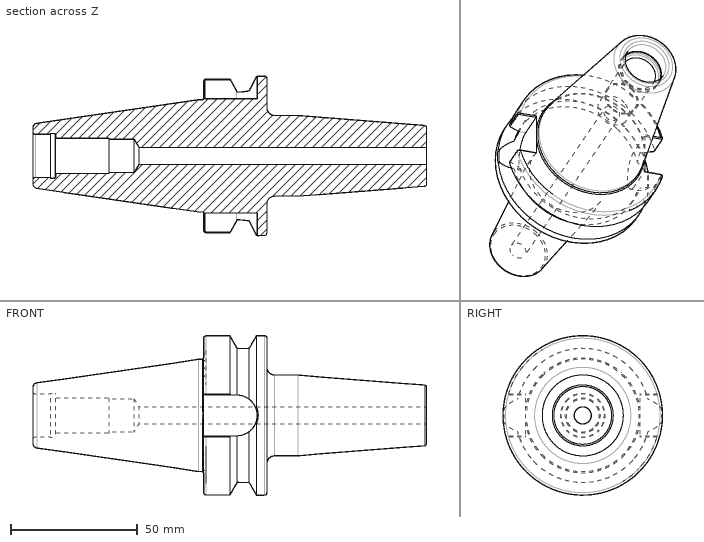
import cadquery as cq
import math


TAPER_LENGTH = 65.4
GAUGE_DIAMETER = 44.45
TAPER_RATIO = 7 / 24
TAPER_END_FILLET = 2.0

FLANGE_GAP = 2.0
FLANGE_END_OFFSET = 27.0
FLANGE_DIAMETER = 63.0
FLANGE_FILLET = 1.0
FLANGE_ROOT_FILLET = 0.5
GROOVE_DIAMETER = 53.0
GROOVE_CENTER_OFFSET = 17.6
GROOVE_FLOOR_WIDTH = 4.7
GROOVE_WALL_ANGLE = 30.0

PROJECTION = 90.0
NECK_DIAMETER = 32.0
NECK_FILLET = 3.0
NOSE_DIAMETER = 24.0
NOSE_ANGLE = 4.5
NOSE_END_CHAMFER = 0.6

SLOT_WIDTH = 16.1
SLOT_FLOOR = 22.6
SLOT_END_OFFSET = 23.1
SLOT_CHAMFER = 0.45

MOUTH_FILLET = 1.0
PILOT_DIAMETER = 17.0
PILOT_DEPTH = 7.0
RELIEF_DIAMETER = 17.5
RELIEF_DEPTH = 9.0
RELIEF_FILLET = 0.5
THREAD_DIAMETER = 13.84
THREAD_DEPTH = 30.0
DRILL_DIAMETER = 13.0
DRILL_DEPTH = 40.0
DRILL_POINT_ANGLE = 118.0
COOLANT_DIAMETER = 6.65

TOTAL_LENGTH = TAPER_LENGTH + PROJECTION
FLANGE_START = TAPER_LENGTH + FLANGE_GAP
FLANGE_END = TAPER_LENGTH + FLANGE_END_OFFSET


def revolve_about_x(outline):
    return outline.close().revolve(360, (0, 0, 0), (1, 0, 0))


def taper_shank():
    gauge_radius = GAUGE_DIAMETER / 2
    end_radius = gauge_radius - TAPER_LENGTH * TAPER_RATIO / 2
    outline = (
        cq.Workplane("XY")
        .lineTo(0, end_radius)
        .lineTo(TAPER_LENGTH, gauge_radius)
        .lineTo(FLANGE_START, gauge_radius)
        .lineTo(FLANGE_START, 0)
    )
    return revolve_about_x(outline).faces("<X").edges().fillet(TAPER_END_FILLET)


def root_fillet(x, radius, size, direction):
    """Concave ring blending a cylinder into a flange face at x; direction points away from the face."""
    bend = size * (1 - math.sqrt(0.5))
    outline = (
        cq.Workplane("XY")
        .moveTo(x, radius - size)
        .lineTo(x, radius + size)
        .threePointArc((x + direction * bend, radius + bend), (x + direction * size, radius))
        .lineTo(x + direction * size, radius - size)
    )
    return revolve_about_x(outline)


def flange():
    rim_radius = FLANGE_DIAMETER / 2
    groove_radius = GROOVE_DIAMETER / 2
    groove_center = TAPER_LENGTH + GROOVE_CENTER_OFFSET
    floor_half = GROOVE_FLOOR_WIDTH / 2
    mouth_half = floor_half + (rim_radius - groove_radius) * math.tan(math.radians(GROOVE_WALL_ANGLE))
    disc = cq.Workplane("YZ", origin=(FLANGE_START, 0, 0)).circle(rim_radius)
    disc = disc.extrude(FLANGE_END - FLANGE_START)
    disc = disc.edges().fillet(FLANGE_FILLET)
    groove = (
        cq.Workplane("XY")
        .moveTo(groove_center - floor_half, groove_radius)
        .lineTo(groove_center + floor_half, groove_radius)
        .lineTo(groove_center + mouth_half, rim_radius)
        .lineTo(groove_center - mouth_half, rim_radius)
    )
    disc = cut_drive_slots(disc)
    disc = disc.faces("<X").edges("|Y").chamfer(SLOT_CHAMFER)
    return disc.cut(revolve_about_x(groove))


def nose():
    neck_radius = NECK_DIAMETER / 2
    nose_radius = NOSE_DIAMETER / 2
    cone_length = (neck_radius - nose_radius) / math.tan(math.radians(NOSE_ANGLE))
    outline = (
        cq.Workplane("XY")
        .moveTo(FLANGE_END, 0)
        .lineTo(FLANGE_END, neck_radius)
        .lineTo(TOTAL_LENGTH - cone_length, neck_radius)
        .lineTo(TOTAL_LENGTH, nose_radius)
        .lineTo(TOTAL_LENGTH, 0)
    )
    return revolve_about_x(outline).faces(">X").edges().chamfer(NOSE_END_CHAMFER)


def drive_slot(side):
    """Cutter for a round-ended slot open towards the taper; side is the sign of Y it is cut from."""
    end_radius = SLOT_WIDTH / 2
    arc_end = TAPER_LENGTH + SLOT_END_OFFSET
    arc_center = arc_end - end_radius
    return (
        cq.Workplane("XZ", origin=(0, side * SLOT_FLOOR, 0))
        .moveTo(TAPER_LENGTH, -end_radius)
        .lineTo(arc_center, -end_radius)
        .threePointArc((arc_end, 0), (arc_center, end_radius))
        .lineTo(TAPER_LENGTH, end_radius)
        .close()
        .extrude(-side * FLANGE_DIAMETER / 2)
    )


def cut_drive_slots(body):
    for side in (-1, 1):
        body = body.cut(drive_slot(side))
    return body


def bore():
    """Stepped through hole: pilot with a relief, thread core, drill with its point, coolant hole."""
    coolant_radius = COOLANT_DIAMETER / 2
    pilot_radius = PILOT_DIAMETER / 2
    relief_radius = RELIEF_DIAMETER / 2
    drill_radius = DRILL_DIAMETER / 2
    point_length = (drill_radius - coolant_radius) / math.tan(math.radians(DRILL_POINT_ANGLE / 2))
    outline = (
        cq.Workplane("XY")
        .lineTo(0, pilot_radius + MOUTH_FILLET)
        .radiusArc((MOUTH_FILLET, pilot_radius), -MOUTH_FILLET)
        .lineTo(PILOT_DEPTH, pilot_radius)
        .lineTo(PILOT_DEPTH, relief_radius)
        .lineTo(RELIEF_DEPTH - RELIEF_FILLET, relief_radius)
        .radiusArc((RELIEF_DEPTH, relief_radius - RELIEF_FILLET), RELIEF_FILLET)
        .lineTo(RELIEF_DEPTH, THREAD_DIAMETER / 2)
        .lineTo(THREAD_DEPTH, THREAD_DIAMETER / 2)
        .lineTo(THREAD_DEPTH, drill_radius)
        .lineTo(DRILL_DEPTH, drill_radius)
        .lineTo(DRILL_DEPTH + point_length, coolant_radius)
        .lineTo(TOTAL_LENGTH, coolant_radius)
        .lineTo(TOTAL_LENGTH, 0)
    )
    return revolve_about_x(outline)


result = taper_shank().union(flange()).union(nose())
result = result.union(root_fillet(FLANGE_START, GAUGE_DIAMETER / 2, FLANGE_ROOT_FILLET, -1))
result = result.union(root_fillet(FLANGE_END, NECK_DIAMETER / 2, NECK_FILLET, 1))
result = cut_drive_slots(result)
result = result.cut(bore())